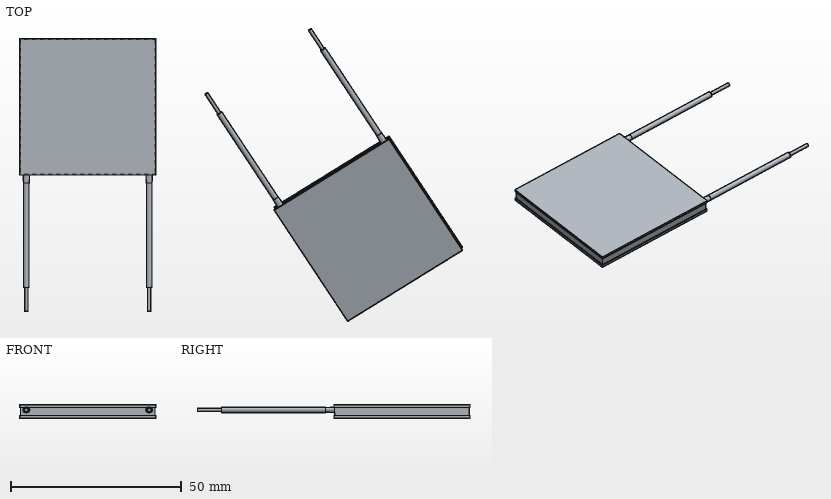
import cadquery as cq

plate_side = 40.0
module_height = 4.0
total_length = 80.0

plate_thickness = 0.8
core_inset = 0.2

lead_edge_offset = 2.0
lead_height = 2.5
joint_root_width = 2.0
joint_root_height = 1.7
joint_taper = 0.2
joint_length = 2.4
sleeve_diameter = 1.7
wire_diameter = 1.0
bare_wire_length = 7.0

lead_length = total_length - plate_side
sleeve_length = lead_length - joint_length - bare_wire_length
core_side = plate_side - 2 * core_inset
core_height = module_height - 2 * plate_thickness
front_y = -plate_side / 2
lead_x = plate_side / 2 - lead_edge_offset


def slab(side, thickness, bottom_z):
    """Square slab centred on the Z axis."""
    return cq.Workplane("XY", origin=(0, 0, bottom_z)).rect(side, side).extrude(thickness)


def lead_plane(x, y):
    """Plane across a lead, facing away from the module along -Y."""
    return cq.Workplane("XZ", origin=(x, y, lead_height))


def lead(x):
    """One lead, rooted in the recessed front face of the core."""
    joint = (
        lead_plane(x, front_y + core_inset)
        .ellipse(joint_root_width / 2, joint_root_height / 2)
        .workplane(offset=core_inset + joint_length)
        .ellipse((joint_root_width - joint_taper) / 2, (joint_root_height - joint_taper) / 2)
        .loft()
    )
    sleeve_start = front_y - joint_length
    sleeve = lead_plane(x, sleeve_start).circle(sleeve_diameter / 2).extrude(sleeve_length)
    wire_start = sleeve_start - sleeve_length
    wire = lead_plane(x, wire_start).circle(wire_diameter / 2).extrude(bare_wire_length)
    return joint.union(sleeve).union(wire)


result = slab(plate_side, plate_thickness, 0)
result = result.union(slab(core_side, core_height, plate_thickness))
result = result.union(slab(plate_side, plate_thickness, module_height - plate_thickness))

for x in (-lead_x, lead_x):
    result = result.union(lead(x))